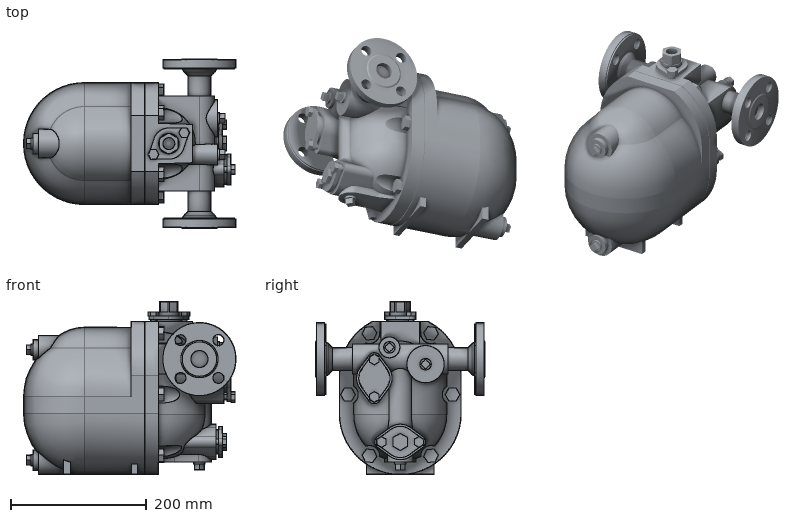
import cadquery as cq
import math


body_radius = 90.0
lower_center_z = body_radius
upper_center_z = 114.7
crown_radius = 63.5
crown_center_z = 153.5
crown_top_z = crown_center_z + crown_radius

flange_start_x = 159.0
gasket_center_x = 178.7
gasket_thickness = 1.0
gasket_recess = 1.3
cover_x = 199.0
flange_center_z = 145.8
flange_top_z = 225.7

foot_width = 99.7
foot_height = 31.5
feet = [(59.0, 10.0), (159.3, 9.0)]

plug_collar_diameter = 17.0
plug_collar_length = 2.8
plug_head_side = 10.5
plug_head_length = 8.5

end_boss_diameter = 42.3
end_boss_start_x = 22.0
end_boss_inner_x = 86.2
end_boss_heights = [184.0, end_boss_diameter / 2]
end_step_diameter = 30.0
end_step_length = 7.8
end_head_length = 7.2

bolt_circle_radius = 77.0
bolt_angle = 54.0
bolt_flats = 18.8
bolt_head_height = 8.0
scallop_radius = 15.0

dome_radius = 68.5
dome_center_x = 201.0
dome_lower_z = 88.0
dome_upper_z = 148.3

pipe_x = 259.5
pipe_z = 170.2
pipe_diameter = 34.0
face_to_face = 250.0
face_y = face_to_face / 2
raised_height = 1.3
raised_base_diameter = 55.0
raised_top_diameter = 50.8
pipe_flange_diameter = 108.0
rim_y = 111.5
rim_back_y = 109.7
rim_back_diameter = 104.0
hub_base_diameter = 50.5
hub_mid_diameter = 46.0
hub_mid_y = 106.0
hub_end_y = 100.0
pipe_bore_diameter = 25.0
pipe_bore_depth = 10.0
flange_hole_diameter = 16.0
flange_hole_circle = 79.0
flange_hole_count = 4
pipe_overlap = 3.0
manifold_half_width = 70.2
manifold_radius = 22.3

block_end_x = 249.5
block_half_width_inner = 29.8
block_half_width_outer = 28.2
block_bottom_z = 156.8
inlet_x = 214.5
inlet_ear_angle = 35.2
inlet_neck_diameter = 30.0
inlet_neck_height = 6.0
inlet_hex_flats = 27.3
inlet_hex_height = 15.5
inlet_bore_diameter = 17.5
inlet_bore_depth = 26.5

lid_radius = 46.0 / 2
lid_ear_radius = 6.5
lid_ear_distance = 28.0
lid_thickness = 5.5
seat_margin = 3.0
pad_diameter = 8.0
small_bolt_flats = 14.0
small_bolt_height = 6.3

inlet_seal_height = 2.8
inlet_seal_diameter = 36.0
inlet_lid_thickness = 5.0

drain_z = 48.0
drain_seat_x = 284.5
drain_seal_diameter = 36.0
drain_seal_thickness = 3.5
drain_hex_flats = 22.0

valve_y = -38.2
valve_z = 142.0
valve_seat_x = 295.5
valve_root_x = 207.0
valve_seal_diameter = 44.0
valve_seal_thickness = 4.7

boss_end_x = 286.2
small_boss = (-16.0, 187.5, 30.7)
large_boss = (37.3, 162.7, 55.0)
boss_root_x = 232.0
column_x = 258.0
column_radius = 19.0
column_flare_x = 222.5
column_flare_half_width = 23.5
column_bottom_z = 18.2


def plane_x(x, y=0, z=0):
    """Sketch plane facing +X with local axes Y and Z."""
    return cq.Workplane(cq.Plane((x, y, z), (0, 1, 0), (1, 0, 0)))


def rod_x(x, y, z, diameter, length):
    return plane_x(x, y, z).circle(diameter / 2).extrude(length)


def across_corners(flats):
    """Size across corners of a hexagon with the given width across flats."""
    return flats / math.cos(math.pi / 6)


def plug(head_length=plug_head_length):
    """Plug standing along +Z from the origin, its square head turned on edge."""
    collar = cq.Workplane().circle(plug_collar_diameter / 2).extrude(plug_collar_length)
    head = (
        cq.Workplane()
        .rect(plug_head_side, plug_head_side)
        .extrude(plug_collar_length + head_length)
        .rotate((0, 0, 0), (0, 0, 1), 45)
    )
    return collar.union(head)


def along_x(shape, x, y, z, sign=1):
    """Turn a shape built along +Z to point along X and move it into place."""
    return shape.rotate((0, 0, 0), (0, 1, 0), 90 * sign).translate((x, y, z))


def eared_outline(center_radius, ear_radius, height):
    """Round plate joined by tangent sides to an ear at each end of local X."""
    spread = math.acos((center_radius - ear_radius) / lid_ear_distance)
    c, s = math.cos(spread), math.sin(spread)
    middle = (center_radius * c, center_radius * s)
    ear = (lid_ear_distance + ear_radius * c, ear_radius * s)
    ear_tip = lid_ear_distance + ear_radius
    return (
        cq.Workplane()
        .moveTo(-middle[0], middle[1])
        .threePointArc((0, center_radius), middle)
        .lineTo(*ear)
        .threePointArc((ear_tip, 0), (ear[0], -ear[1]))
        .lineTo(middle[0], -middle[1])
        .threePointArc((0, -center_radius), (-middle[0], -middle[1]))
        .lineTo(-ear[0], -ear[1])
        .threePointArc((-ear_tip, 0), (-ear[0], ear[1]))
        .close()
        .extrude(height)
    )


def eared_lid(seal_diameter, seal_height, thickness, bolt_turn):
    """Seal, bolt pads, eared plate and bolt heads stacked along +Z, ears on X."""
    ears = [(-lid_ear_distance, 0), (lid_ear_distance, 0)]
    lid = cq.Workplane().circle(seal_diameter / 2).extrude(seal_height)
    lid = lid.union(cq.Workplane().pushPoints(ears).circle(pad_diameter / 2).extrude(seal_height))
    plate = eared_outline(lid_radius, lid_ear_radius, thickness)
    lid = lid.union(plate.translate((0, 0, seal_height)))
    for x, y in ears:
        head = cq.Workplane().polygon(6, across_corners(small_bolt_flats)).extrude(small_bolt_height)
        head = head.rotate((0, 0, 0), (0, 0, 1), bolt_turn)
        lid = lid.union(head.translate((x, y, seal_height + thickness)))
    return lid


def housing_half_profile():
    """Half outline of the housing cross-section, horizontal axis measured from the mid plane."""
    center_gap = crown_center_z - upper_center_z
    rise = (body_radius**2 - crown_radius**2 + center_gap**2) / (2 * center_gap)
    joint = (math.sqrt(body_radius**2 - rise**2), upper_center_z + rise)
    low = body_radius * math.sqrt(0.5)
    side_angle = math.asin(rise / body_radius) / 2
    side = (body_radius * math.cos(side_angle), upper_center_z + body_radius * math.sin(side_angle))
    top_angle = (math.pi / 2 + math.atan2(joint[1] - crown_center_z, joint[0])) / 2
    top = (crown_radius * math.cos(top_angle), crown_center_z + crown_radius * math.sin(top_angle))
    return (
        cq.Workplane("YZ")
        .moveTo(0, 0)
        .threePointArc((low, lower_center_z - low), (body_radius, lower_center_z))
        .lineTo(body_radius, upper_center_z)
        .threePointArc(side, joint)
        .threePointArc(top, (0, crown_top_z))
        .close()
    )


def make_housing():
    barrel_half = housing_half_profile().extrude(flange_start_x - body_radius)
    barrel = barrel_half.union(barrel_half.mirror("XZ"))
    dome = housing_half_profile().revolve(360, (0, 0, 0), (0, 1, 0))
    return barrel.union(dome).translate((body_radius, 0, 0))


def flange_plate(x_start, x_end, inset=0.0):
    """Slab of the main flange outline: round below, arched above, flat on top."""
    radius = body_radius - inset
    top_z = flange_top_z - inset
    top_half = math.sqrt(radius**2 - (top_z - flange_center_z) ** 2)
    shoulder = math.atan2(top_z - flange_center_z, top_half) / 2
    side_y = radius * math.cos(shoulder)
    side_z = flange_center_z + radius * math.sin(shoulder)
    return (
        plane_x(x_start)
        .moveTo(-radius, lower_center_z)
        .threePointArc((0, lower_center_z - radius), (radius, lower_center_z))
        .lineTo(radius, flange_center_z)
        .threePointArc((side_y, side_z), (top_half, top_z))
        .lineTo(-top_half, top_z)
        .threePointArc((-side_y, side_z), (-radius, flange_center_z))
        .close()
        .extrude(x_end - x_start)
    )


def make_flange_pair():
    gasket_start = gasket_center_x - gasket_thickness / 2
    gasket_end = gasket_center_x + gasket_thickness / 2
    pair = flange_plate(flange_start_x, gasket_start)
    pair = pair.union(flange_plate(gasket_start, gasket_end, gasket_recess))
    return pair.union(flange_plate(gasket_end, cover_x))


def make_feet():
    shapes = cq.Workplane()
    for x, thickness in feet:
        foot = cq.Workplane().box(thickness, foot_width, foot_height, centered=(False, True, False))
        shapes = shapes.add(foot.translate((x, 0, 0)))
    return shapes.combine()


def make_end_boss(z):
    boss = rod_x(end_boss_start_x, 0, z, end_boss_diameter, end_boss_inner_x - end_boss_start_x)
    step_x = end_boss_start_x - end_step_length
    boss = boss.union(rod_x(step_x, 0, z, end_step_diameter, end_boss_inner_x - step_x))
    return boss.union(along_x(plug(end_head_length), step_x, 0, z, -1))


def bolt_places():
    """(Y, Z, turn) of the six cover bolts."""
    run = bolt_circle_radius * math.cos(math.radians(bolt_angle))
    rise = bolt_circle_radius * math.sin(math.radians(bolt_angle))
    middle_z = (flange_center_z + lower_center_z) / 2
    places = []
    for side in (-1, 1):
        places.append((side * run, flange_center_z + rise, side * bolt_angle))
        places.append((side * bolt_circle_radius, middle_z, 0))
        places.append((side * run, lower_center_z - rise, -side * bolt_angle))
    return places


def make_cover_dome():
    dome = (
        cq.Workplane("XY", origin=(dome_center_x, 0, dome_lower_z))
        .circle(dome_radius)
        .extrude(dome_upper_z - dome_lower_z)
    )
    for z in (dome_lower_z, dome_upper_z):
        dome = dome.union(cq.Workplane().sphere(dome_radius).translate((dome_center_x, 0, z)))
    dome = dome.intersect(flange_plate(cover_x, dome_center_x + dome_radius))
    for y, z, _ in bolt_places():
        dome = dome.cut(rod_x(cover_x, y, z, 2 * scallop_radius, dome_radius))
    return dome


def make_cover_bolts():
    bolts = cq.Workplane()
    for y, z, turn in bolt_places():
        head = plane_x(cover_x, y, z).polygon(6, across_corners(bolt_flats)).extrude(bolt_head_height)
        bolts = bolts.add(head.rotate((cover_x, y, z), (cover_x + 3, y, z), turn))
    return bolts.combine()


def make_manifold():
    """Cross block carrying both pipes, its outer end rounded about the pipe axis."""
    top_z = pipe_z + manifold_radius
    bottom_z = pipe_z - manifold_radius
    return (
        cq.Workplane("XZ")
        .moveTo(cover_x, bottom_z)
        .lineTo(pipe_x, bottom_z)
        .threePointArc((pipe_x + manifold_radius, pipe_z), (pipe_x, top_z))
        .lineTo(cover_x, top_z)
        .close()
        .extrude(manifold_half_width, both=True)
    )


def make_pipe():
    """Pipe with weld-neck flange on the -Y side."""
    rim_face_y = face_y - raised_height
    pipe = (
        cq.Workplane()
        .moveTo(0, manifold_half_width - pipe_overlap)
        .lineTo(pipe_diameter / 2, manifold_half_width - pipe_overlap)
        .lineTo(pipe_diameter / 2, hub_end_y)
        .lineTo(hub_mid_diameter / 2, hub_mid_y)
        .lineTo(hub_base_diameter / 2, rim_back_y)
        .lineTo(rim_back_diameter / 2, rim_back_y)
        .lineTo(rim_back_diameter / 2, rim_y)
        .lineTo(pipe_flange_diameter / 2, rim_y)
        .lineTo(pipe_flange_diameter / 2, rim_face_y)
        .lineTo(raised_base_diameter / 2, rim_face_y)
        .lineTo(raised_top_diameter / 2, face_y)
        .lineTo(0, face_y)
        .close()
        .revolve(360, (0, 0, 0), (0, 1, 0))
        .mirror("XZ")
    )
    face = cq.Workplane("XZ", origin=(0, -face_y, 0))
    pipe = pipe.cut(face.circle(pipe_bore_diameter / 2).extrude(-pipe_bore_depth))
    holes = (
        face.polarArray(flange_hole_circle / 2, 180 / flange_hole_count, 360, flange_hole_count)
        .circle(flange_hole_diameter / 2)
        .extrude(rim_back_y - face_y)
    )
    return pipe.cut(holes).translate((pipe_x, 0, pipe_z))


def make_top_block():
    return (
        cq.Workplane("XY", origin=(0, 0, block_bottom_z))
        .moveTo(cover_x, -block_half_width_inner)
        .lineTo(block_end_x, -block_half_width_outer)
        .lineTo(block_end_x, block_half_width_outer)
        .lineTo(cover_x, block_half_width_inner)
        .close()
        .extrude(flange_top_z - block_bottom_z)
    )


def make_inlet():
    """Bolted connector on top: eared lid, round neck and hexagon with rounded corners."""
    lid = eared_lid(
        inlet_seal_diameter, inlet_seal_height, inlet_lid_thickness, -inlet_ear_angle
    ).rotate((0, 0, 0), (0, 0, 1), inlet_ear_angle)
    neck_z = inlet_seal_height + inlet_lid_thickness
    nut_z = neck_z + inlet_neck_height
    neck = cq.Workplane(origin=(0, 0, neck_z)).circle(inlet_neck_diameter / 2).extrude(inlet_neck_height)
    nut = (
        cq.Workplane(origin=(0, 0, nut_z))
        .polygon(6, across_corners(inlet_hex_flats))
        .extrude(inlet_hex_height)
        .rotate((0, 0, 0), (0, 0, 1), 30)
    )
    nut_round = cq.Workplane(origin=(0, 0, nut_z)).circle(inlet_neck_diameter / 2).extrude(inlet_hex_height)
    inlet = lid.union(neck).union(nut.intersect(nut_round))
    bore = (
        cq.Workplane(origin=(0, 0, nut_z + inlet_hex_height))
        .circle(inlet_bore_diameter / 2)
        .extrude(-inlet_bore_depth)
    )
    return inlet.cut(bore).translate((inlet_x, 0, flange_top_z))


def make_seat(length):
    """Eared seat ending at Z = 0 and running down by its length."""
    return eared_outline(
        lid_radius + seat_margin, lid_ear_radius + seat_margin, length
    ).translate((0, 0, -length))


def make_drain():
    """Lower flange with level ears and a central hexagon."""
    drain = make_seat(drain_seat_x - boss_root_x)
    drain = drain.union(
        eared_lid(drain_seal_diameter, drain_seal_thickness, lid_thickness, 90)
    )
    head = (
        cq.Workplane()
        .polygon(6, across_corners(drain_hex_flats))
        .extrude(drain_seal_thickness + lid_thickness + small_bolt_height)
    )
    drain = drain.rotate((0, 0, 0), (0, 0, 1), 90).union(head)
    return along_x(drain, drain_seat_x, 0, drain_z)


def make_valve():
    """Upper flange on the -Y side with one ear above the other."""
    valve = make_seat(valve_seat_x - valve_root_x)
    valve = valve.union(
        eared_lid(valve_seal_diameter, valve_seal_thickness, lid_thickness, 0)
    )
    return along_x(valve, valve_seat_x, valve_y, valve_z)


def make_plugged_boss(y, z, diameter):
    boss = rod_x(boss_root_x, y, z, diameter, boss_end_x - boss_root_x)
    return boss.union(along_x(plug(), boss_end_x, y, z))


def make_column():
    """Upright round-ended web under the manifold, flared at the cover, with a plug in its base."""
    column = (
        cq.Workplane(origin=(0, 0, column_bottom_z))
        .moveTo(cover_x, -column_flare_half_width)
        .lineTo(column_flare_x, -column_radius)
        .lineTo(column_x, -column_radius)
        .threePointArc((column_x + column_radius, 0), (column_x, column_radius))
        .lineTo(column_flare_x, column_radius)
        .lineTo(cover_x, column_flare_half_width)
        .close()
        .extrude(pipe_z - column_bottom_z)
    )
    base_plug = plug().rotate((0, 0, 0), (1, 0, 0), 180).translate((pipe_x, 0, column_bottom_z))
    return column.union(base_plug)


near_pipe = make_pipe()
parts = [
    make_flange_pair(),
    make_feet(),
    make_cover_dome(),
    make_cover_bolts(),
    make_manifold(),
    near_pipe,
    near_pipe.mirror("XZ"),
    make_top_block(),
    make_inlet(),
    make_drain(),
    make_valve(),
    make_plugged_boss(*small_boss),
    make_plugged_boss(*large_boss),
    make_column(),
]
for axis_z in end_boss_heights:
    parts.append(make_end_boss(axis_z))

result = make_housing()
for part in parts:
    result = result.union(part)